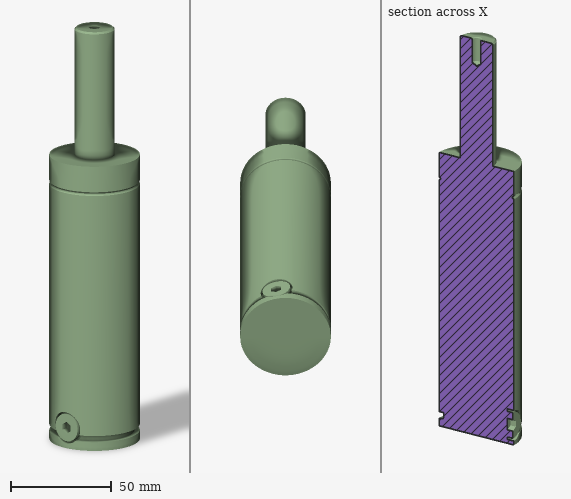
import cadquery as cq
import math

total_height = 212
body_diameter = 45.0
body_height = 146.5
rod_diameter = 20.0
rod_chamfer = 0.8

rod_hole_diameter = 5.0
rod_hole_mouth_diameter = 6.0
rod_hole_depth = 12.7
drill_tip_angle = 118

base_groove_bottom = 4.5
base_groove_top = 7.6
base_groove_depth = 2.5

collar_groove_bottom = 131.5
collar_groove_width = 2.0

plug_height = 10.4
plug_flange_diameter = 16.1
plug_head_diameter = 14.0
plug_face_offset = 21.8
plug_flange_offset = 18.7
plug_root_offset = 10.5
socket_width = 5.0
socket_depth = 3.2

body_radius = body_diameter / 2
rod_radius = rod_diameter / 2


def make_body():
    """Revolve the body, its two grooves and the chamfered rod."""
    base_groove_radius = body_radius - base_groove_depth
    collar_groove_radius = body_radius - collar_groove_width / 2
    profile = [
        (0, 0),
        (body_radius, 0),
        (body_radius, base_groove_bottom),
        (base_groove_radius, base_groove_bottom),
        (base_groove_radius, base_groove_top),
        (body_radius, base_groove_top),
        (body_radius, collar_groove_bottom),
        (collar_groove_radius, collar_groove_bottom + collar_groove_width / 2),
        (body_radius, collar_groove_bottom + collar_groove_width),
        (body_radius, body_height),
        (rod_radius, body_height),
        (rod_radius, total_height - rod_chamfer),
        (rod_radius - rod_chamfer, total_height),
        (0, total_height),
    ]
    return cq.Workplane("XZ").polyline(profile).close().revolve(360, (0, 0), (0, 1))


def make_rod_hole():
    """Revolve a blind drilled hole with a countersunk mouth and conical tip."""
    hole_radius = rod_hole_diameter / 2
    mouth_radius = rod_hole_mouth_diameter / 2
    hole_bottom = total_height - rod_hole_depth
    tip_length = hole_radius / math.tan(math.radians(drill_tip_angle / 2))
    profile = [
        (0, total_height),
        (mouth_radius, total_height),
        (hole_radius, total_height - (mouth_radius - hole_radius)),
        (hole_radius, hole_bottom),
        (0, hole_bottom - tip_length),
    ]
    return cq.Workplane("XZ").polyline(profile).close().revolve(360, (0, 0), (0, 1))


def plug_plane(offset):
    """Workplane across the plug axis, facing outward at a distance from the body axis."""
    return cq.Workplane("XZ", origin=(0, -offset, plug_height))


def make_plug_pocket():
    """Round pocket that clears the body around the plug."""
    pocket_depth = body_radius - plug_root_offset
    return plug_plane(plug_root_offset).circle(plug_flange_diameter / 2).extrude(pocket_depth)


def make_plug():
    """Stepped plug with a hexagon socket that has two corners pointing along Z."""
    flange_length = plug_flange_offset - plug_root_offset
    head_length = plug_face_offset - plug_root_offset
    flange = plug_plane(plug_root_offset).circle(plug_flange_diameter / 2).extrude(flange_length)
    head = plug_plane(plug_root_offset).circle(plug_head_diameter / 2).extrude(head_length)
    socket_corner_diameter = socket_width / math.cos(math.pi / 6)
    socket = (
        plug_plane(plug_face_offset)
        .transformed(rotate=(0, 0, 90))
        .polygon(6, socket_corner_diameter)
        .extrude(-socket_depth)
    )
    return flange.union(head).cut(socket)


result = make_body().cut(make_rod_hole()).cut(make_plug_pocket()).union(make_plug())